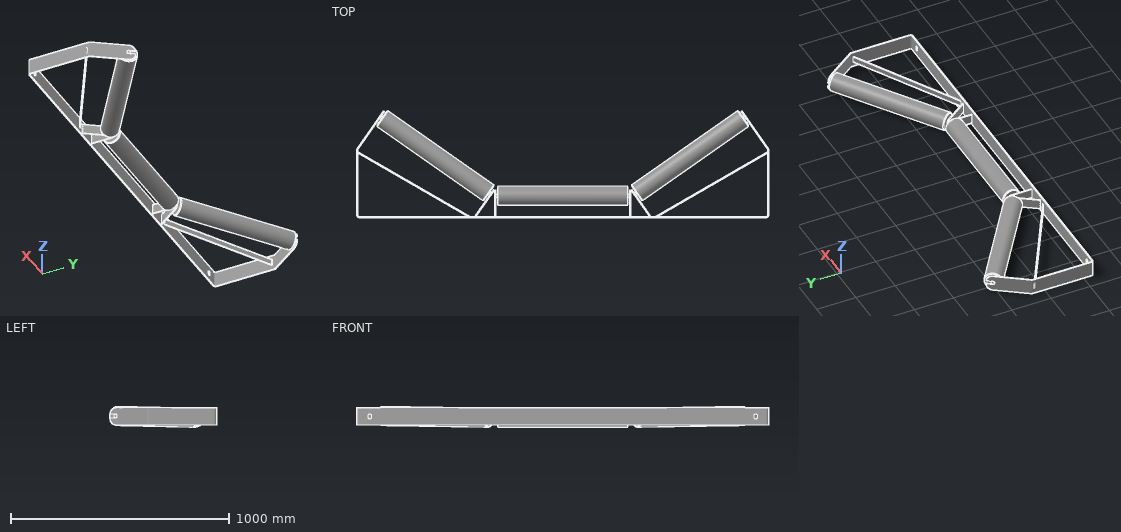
import cadquery as cq
import math


frame_width = 1890.0
strip_height = 80.0
strip_thickness = 5.0
bend_radius = 13.0
inner_bracket_height = 50.0
outer_tip_radius = 32.0
inner_tip_radius = 23.0
outer_tip_reach = 32.0
inner_tip_reach = 26.0
mount_hole_width = 17.0
mount_hole_height = 23.0
mount_hole_x = 885.0

brace_height = 30.0
brace_thickness = 5.0
brace_angle = 30.0
brace_foot_x = 429.0

roller_diameter = 89.0
roller_length = 600.0
roller_rim_chamfer = 4.0
shaft_diameter = 17.0
bracket_gap = 8.0
centre_roller_y = 102.0
centre_roller_z = -5.0
trough_angle = 35.0
wing_rise = 8.0
wing_x = 584.0
wing_y = 285.0

bracket_inside = roller_length / 2 + bracket_gap
bracket_outside = bracket_inside + strip_thickness
wing_z = centre_roller_z + wing_rise / 2
wing_tilt = math.degrees(math.asin(wing_rise / roller_length))
slope_x = math.cos(math.radians(trough_angle))
slope_y = math.sin(math.radians(trough_angle))
frame_side = frame_width / 2


def wing_point(along, across):
    """Plan position at a distance along the right wing roller's axis and across it, upwards."""
    return (
        wing_x + along * slope_x - across * slope_y,
        wing_y + along * slope_y + across * slope_x,
    )


def wing_across_at(along, x=None, y=None):
    """Distance across the wing axis at which the line at `along` reaches a plan X or Y."""
    if x is not None:
        return (wing_x + along * slope_x - x) / slope_y
    return (y - wing_y - along * slope_y) / slope_x


def place_on_wing(shape):
    """Moves a shape built around the X axis onto the right wing roller's axis."""
    tilted = shape.rotate((0, 0, 0), (0, 1, 0), -wing_tilt)
    turned = tilted.rotate((0, 0, 0), (0, 0, 1), trough_angle)
    return turned.translate((wing_x, wing_y, wing_z))


def place_in_centre(shape):
    return shape.translate((0, centre_roller_y, centre_roller_z))


def plate(points, height):
    """Upright plate of the given plan outline, centred on Z = 0."""
    return cq.Workplane("XY").polyline(points).close().extrude(height / 2, both=True)


def round_bar(diameter, length):
    """Round bar along the X axis, centred on the origin."""
    return cq.Workplane("YZ", origin=(-length / 2, 0, 0)).circle(diameter / 2).extrude(length)


def round_edge(body, point, radius):
    return body.edges(cq.NearestToPointSelector(point)).fillet(radius)


def round_tip(body, tip, height, radius):
    """Rounds the upper and lower corner of a bracket that ends at the plan point `tip`."""
    for z in (-height / 2, height / 2):
        body = round_edge(body, (*tip, z), radius)
    return body


def bent_strip():
    inner_side = frame_side - strip_thickness
    outer_bend = wing_point(bracket_outside, wing_across_at(bracket_outside, x=frame_side))
    inner_bend = wing_point(bracket_inside, wing_across_at(bracket_inside, x=inner_side))
    strip = plate(
        [
            (0, 0),
            (frame_side, 0),
            outer_bend,
            wing_point(bracket_outside, outer_tip_reach),
            wing_point(bracket_inside, outer_tip_reach),
            inner_bend,
            (inner_side, strip_thickness),
            (0, strip_thickness),
        ],
        strip_height,
    )
    for outer_corner in ((frame_side, 0), outer_bend):
        strip = round_edge(strip, (*outer_corner, 0), bend_radius)
    for inner_corner in ((inner_side, strip_thickness), inner_bend):
        strip = round_edge(strip, (*inner_corner, 0), bend_radius - strip_thickness)
    tip = wing_point(bracket_inside + strip_thickness / 2, outer_tip_reach)
    return round_tip(strip, tip, strip_height, outer_tip_radius)


def inner_wing_bracket():
    def foot(along):
        return wing_point(along, wing_across_at(along, y=strip_thickness))

    bracket = plate(
        [
            foot(-bracket_outside),
            foot(-bracket_inside),
            wing_point(-bracket_inside, inner_tip_reach),
            wing_point(-bracket_outside, inner_tip_reach),
        ],
        inner_bracket_height,
    )
    tip = wing_point(-bracket_inside - strip_thickness / 2, inner_tip_reach)
    bracket = round_tip(bracket, tip, inner_bracket_height, inner_tip_radius)
    return bracket.translate((0, 0, centre_roller_z))


def centre_bracket():
    tip_y = centre_roller_y + inner_tip_reach
    bracket = plate(
        [
            (bracket_inside, strip_thickness),
            (bracket_outside, strip_thickness),
            (bracket_outside, tip_y),
            (bracket_inside, tip_y),
        ],
        inner_bracket_height,
    )
    tip = (bracket_inside + strip_thickness / 2, tip_y)
    bracket = round_tip(bracket, tip, inner_bracket_height, inner_tip_radius)
    return bracket.translate((0, 0, centre_roller_z))


def brace():
    slope = math.tan(math.radians(brace_angle))
    half_depth = brace_thickness / 2 / math.cos(math.radians(brace_angle))
    side_x = frame_side - strip_thickness
    side_y = strip_thickness + (side_x - brace_foot_x) * slope
    return plate(
        [
            (brace_foot_x + half_depth / slope, strip_thickness),
            (side_x, side_y - half_depth),
            (side_x, side_y + half_depth),
            (brace_foot_x - half_depth / slope, strip_thickness),
        ],
        brace_height,
    )


def shaft_slots():
    length = 2 * bracket_outside + strip_thickness
    reach = 2 * outer_tip_reach
    seat = round_bar(shaft_diameter, length)
    opening = cq.Workplane("XY").box(length, reach, shaft_diameter, centered=(True, False, True))
    return seat.union(opening)


def mount_hole():
    return (
        cq.Workplane("XZ")
        .center(mount_hole_x, 0)
        .slot2D(mount_hole_height, mount_hole_width, 90)
        .extrude(strip_thickness, both=True)
    )


def build_frame():
    half = bent_strip().union(inner_wing_bracket()).union(centre_bracket()).union(brace())
    half = half.cut(mount_hole()).cut(place_on_wing(shaft_slots())).cut(place_in_centre(shaft_slots()))
    return half.union(half.mirror("YZ"))


def build_roller():
    shell = round_bar(roller_diameter, roller_length).faces("<X or >X").chamfer(roller_rim_chamfer)
    return shell.union(round_bar(shaft_diameter, 2 * bracket_outside))


frame = build_frame()
centre_roller = place_in_centre(build_roller())
right_wing_roller = place_on_wing(build_roller())
left_wing_roller = right_wing_roller.mirror("YZ")
rollers = [centre_roller, right_wing_roller, left_wing_roller]

result = cq.Compound.makeCompound([frame.val(), *[roller.val() for roller in rollers]])